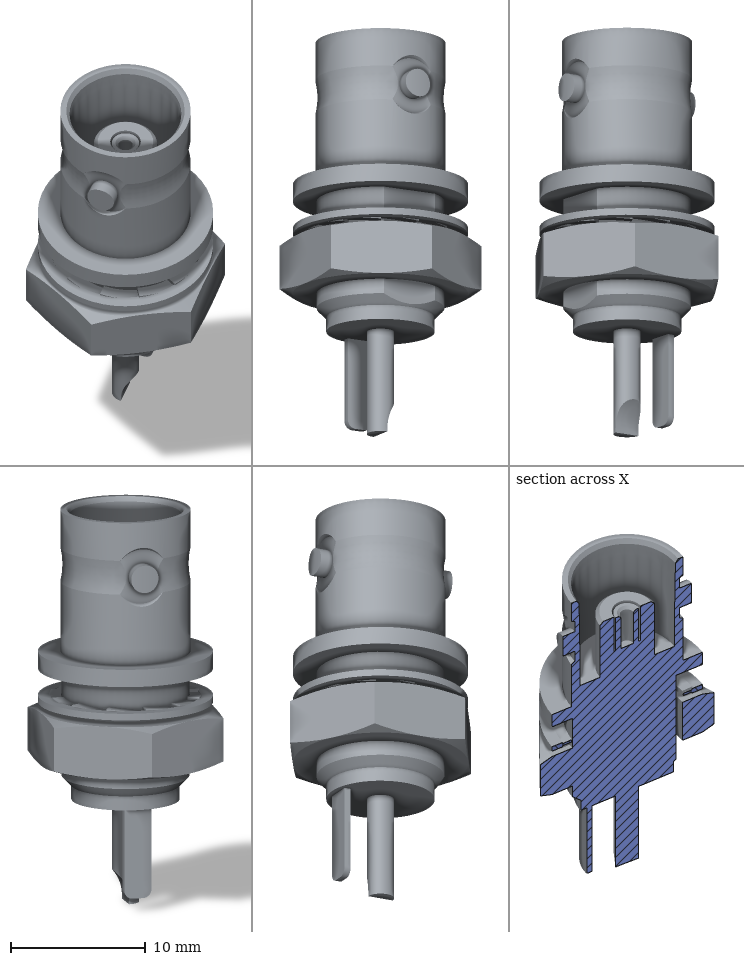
import cadquery as cq
import math

PIN_TIP_Z = 0.0
COLLAR_BOTTOM_Z = 7.8
CHAMFER_BOTTOM_Z = 8.88
CHAMFER_TOP_Z = 9.6
NUT_BOTTOM_Z = 10.7
NUT_TOP_Z = 14.7
WASHER_BOTTOM_Z = 15.2
WASHER_TOP_Z = 15.7
FLANGE_BOTTOM_Z = 17.73
FLANGE_TOP_Z = 19.05
SOCKET_FLOOR_Z = 20.85
LUG_Z = 25.65
INSULATOR_TOP_Z = 26.52
RIM_Z = 29.8

COLLAR_RADIUS = 4.02
THREAD_RADIUS = 4.75
FLANGE_RADIUS = 6.5
BARREL_RADIUS = 4.83
THREAD_FLAT_Y = -4.2
GROOVE_HALF_HEIGHT = 1.28
GROOVE_DEPTH = 0.15

SOCKET_FLOOR_RADIUS = 4.05
SOCKET_MOUTH_RADIUS = 4.15
RIM_INNER_RADIUS = 4.38
RIM_CHAMFER_HEIGHT = 0.35

INSULATOR_RADIUS = 2.35
INSULATOR_CHAMFER = 0.3
INSULATOR_HOLE_RADIUS = 1.13
CONTACT_RADIUS = 1.0
CONTACT_BORE_RADIUS = 0.55
CONTACT_CHAMFER = 0.2
CONTACT_RECESS = 0.15
CONTACT_BORE_DEPTH = 3.58

LUG_RADIUS = 1.05
LUG_REACH = 5.55
LUG_SPOT_RADIUS = 2.05
LUG_SPOT_FLARE = 0.18
LUG_SPOT_Y = 4.53

PIN_RADIUS = 1.0
PIN_SCOOP_RADIUS = 2.83
PIN_SCOOP_Z = 0.3
TAB_WIDTH = 2.1
TAB_THICKNESS = 0.5
TAB_Y = 3.25
TAB_BOTTOM_Z = 0.98
TAB_CORNER_RADIUS = 0.65

NUT_FLAT_RADIUS = FLANGE_RADIUS
NUT_CORNER_RADIUS = NUT_FLAT_RADIUS / math.cos(math.pi / 6)
NUT_CORNER_DROP = 0.35

WASHER_RADIUS = FLANGE_RADIUS
WASHER_INNER_RADIUS = 5.57
TOOTH_TIP_RADIUS = 4.77
TOOTH_COUNT = 12
TOOTH_TILT = 5.0
TOOTH_ROOT_OVERLAP = 0.1


def cylinder(radius, bottom_z, top_z):
    return cq.Workplane("XY").workplane(offset=bottom_z).circle(radius).extrude(top_z - bottom_z)


def shell_blank():
    """Solid revolved outside of the connector, from the collar up to the rim."""
    groove_radius = BARREL_RADIUS - GROOVE_DEPTH
    arc_radius = (GROOVE_HALF_HEIGHT**2 + GROOVE_DEPTH**2) / (2 * GROOVE_DEPTH)
    return (
        cq.Workplane("XZ")
        .moveTo(0, COLLAR_BOTTOM_Z)
        .lineTo(COLLAR_RADIUS, COLLAR_BOTTOM_Z)
        .lineTo(COLLAR_RADIUS, CHAMFER_BOTTOM_Z)
        .lineTo(THREAD_RADIUS, CHAMFER_TOP_Z)
        .lineTo(THREAD_RADIUS, FLANGE_BOTTOM_Z)
        .lineTo(FLANGE_RADIUS, FLANGE_BOTTOM_Z)
        .lineTo(FLANGE_RADIUS, FLANGE_TOP_Z)
        .lineTo(BARREL_RADIUS, FLANGE_TOP_Z)
        .lineTo(BARREL_RADIUS, LUG_Z - GROOVE_HALF_HEIGHT)
        .radiusArc((groove_radius, LUG_Z), arc_radius)
        .radiusArc((BARREL_RADIUS, LUG_Z + GROOVE_HALF_HEIGHT), arc_radius)
        .lineTo(BARREL_RADIUS, RIM_Z)
        .lineTo(0, RIM_Z)
        .close()
        .revolve(360, (0, 0, 0), (0, 1, 0))
    )


def thread_flat():
    """Cutter for the flat that keys the threaded section on its -Y side."""
    height = FLANGE_BOTTOM_Z - CHAMFER_BOTTOM_Z
    return (
        cq.Workplane("XY")
        .box(2 * THREAD_RADIUS, THREAD_RADIUS, height, centered=(True, False, False))
        .translate((0, THREAD_FLAT_Y - THREAD_RADIUS, CHAMFER_BOTTOM_Z))
    )


def socket():
    """Cutter for the tapered socket, leaving the insulator boss on its floor."""
    return (
        cq.Workplane("XZ")
        .moveTo(0, INSULATOR_TOP_Z)
        .lineTo(INSULATOR_RADIUS - INSULATOR_CHAMFER, INSULATOR_TOP_Z)
        .lineTo(INSULATOR_RADIUS, INSULATOR_TOP_Z - INSULATOR_CHAMFER)
        .lineTo(INSULATOR_RADIUS, SOCKET_FLOOR_Z)
        .lineTo(SOCKET_FLOOR_RADIUS, SOCKET_FLOOR_Z)
        .lineTo(SOCKET_MOUTH_RADIUS, RIM_Z - RIM_CHAMFER_HEIGHT)
        .lineTo(RIM_INNER_RADIUS, RIM_Z)
        .lineTo(0, RIM_Z)
        .close()
        .revolve(360, (0, 0, 0), (0, 1, 0))
    )


def contact_recess():
    """Cutter around and inside the centre contact, open at the insulator top."""
    bottom_z = INSULATOR_TOP_Z - CONTACT_BORE_DEPTH
    contact_top_z = INSULATOR_TOP_Z - CONTACT_RECESS
    contact = (
        cylinder(CONTACT_RADIUS, bottom_z, contact_top_z)
        .cut(cylinder(CONTACT_BORE_RADIUS, bottom_z, contact_top_z))
        .faces(">Z")
        .edges(cq.selectors.RadiusNthSelector(0))
        .chamfer(CONTACT_CHAMFER)
    )
    return cylinder(INSULATOR_HOLE_RADIUS, bottom_z, INSULATOR_TOP_Z).cut(contact)


def lug_spots():
    """Flared cutters for the round flats that surround the two bayonet lugs."""
    depth = BARREL_RADIUS - LUG_SPOT_Y
    cone = cq.Solid.makeCone(
        LUG_SPOT_RADIUS,
        LUG_SPOT_RADIUS + LUG_SPOT_FLARE,
        depth,
        cq.Vector(0, -LUG_SPOT_Y, LUG_Z),
        cq.Vector(0, -1, 0),
    )
    cutter = cq.Workplane(cone)
    return cutter.union(cutter.mirror("XZ"))


def lugs():
    """Two opposite bayonet lugs rooted in the barrel wall, with ends curved around the Z axis."""
    bar = (
        cq.Workplane("XZ", origin=(0, 0, LUG_Z))
        .circle(LUG_RADIUS)
        .extrude(LUG_REACH, both=True)
    )
    reach = cylinder(LUG_REACH, LUG_Z - LUG_RADIUS, LUG_Z + LUG_RADIUS)
    mid_wall_radius = (SOCKET_MOUTH_RADIUS + LUG_SPOT_Y) / 2
    barrel_middle = cylinder(mid_wall_radius, FLANGE_TOP_Z, RIM_Z)
    return bar.intersect(reach).cut(barrel_middle)


def solder_pin():
    """Round pin with its +X half scooped away at the tip."""
    pin = cylinder(PIN_RADIUS, PIN_TIP_Z, COLLAR_BOTTOM_Z)
    scoop = (
        cq.Workplane("XZ", origin=(PIN_SCOOP_RADIUS, 0, PIN_SCOOP_Z))
        .circle(PIN_SCOOP_RADIUS)
        .extrude(PIN_RADIUS, both=True)
    )
    tip_relief = (
        cq.Workplane("XY")
        .box(PIN_RADIUS, 2 * PIN_RADIUS, PIN_SCOOP_Z, centered=(False, True, False))
        .translate((0, 0, PIN_TIP_Z))
    )
    return pin.cut(scoop).cut(tip_relief)


def ground_tab():
    """Flat tab below the collar with rounded lower corners."""
    return (
        cq.Workplane("XY")
        .box(TAB_WIDTH, TAB_THICKNESS, COLLAR_BOTTOM_Z - TAB_BOTTOM_Z, centered=(True, True, False))
        .translate((0, TAB_Y, TAB_BOTTOM_Z))
        .edges("|Y and <Z")
        .fillet(TAB_CORNER_RADIUS)
    )


def nut():
    """Hexagonal nut with corners on the Y axis, conically trimmed at both ends."""
    hexagon = (
        cq.Workplane("XY")
        .workplane(offset=NUT_BOTTOM_Z)
        .transformed(rotate=(0, 0, 90))
        .polygon(6, 2 * NUT_CORNER_RADIUS)
        .extrude(NUT_TOP_Z - NUT_BOTTOM_Z)
    )
    trim = (
        cq.Workplane("XZ")
        .moveTo(THREAD_RADIUS, NUT_BOTTOM_Z)
        .lineTo(NUT_FLAT_RADIUS, NUT_BOTTOM_Z)
        .lineTo(NUT_CORNER_RADIUS, NUT_BOTTOM_Z + NUT_CORNER_DROP)
        .lineTo(NUT_CORNER_RADIUS, NUT_TOP_Z - NUT_CORNER_DROP)
        .lineTo(NUT_FLAT_RADIUS, NUT_TOP_Z)
        .lineTo(THREAD_RADIUS, NUT_TOP_Z)
        .close()
        .revolve(360, (0, 0, 0), (0, 1, 0))
    )
    return hexagon.intersect(trim)


def make_connector():
    """Connector with its nut seated on the thread, as one solid."""
    shell = shell_blank().cut(thread_flat()).cut(socket()).cut(contact_recess()).cut(lug_spots())
    return shell.union(lugs()).union(solder_pin()).union(ground_tab()).union(nut())


def washer_tooth():
    """One tooth on the +X side, tilted about its radial centre line."""
    thickness = WASHER_TOP_Z - WASHER_BOTTOM_Z
    half_angle = math.pi / TOOTH_COUNT
    root_radius = WASHER_INNER_RADIUS + TOOTH_ROOT_OVERLAP

    def sector_point(radius, angle):
        return (radius * math.cos(angle), radius * math.sin(angle))

    return (
        cq.Workplane("XY")
        .moveTo(*sector_point(TOOTH_TIP_RADIUS, -half_angle))
        .lineTo(*sector_point(root_radius, -half_angle))
        .threePointArc((root_radius, 0), sector_point(root_radius, half_angle))
        .lineTo(*sector_point(TOOTH_TIP_RADIUS, half_angle))
        .threePointArc((TOOTH_TIP_RADIUS, 0), sector_point(TOOTH_TIP_RADIUS, -half_angle))
        .close()
        .extrude(thickness / 2, both=True)
        .rotate((0, 0, 0), (1, 0, 0), -TOOTH_TILT)
        .translate((0, 0, WASHER_BOTTOM_Z + thickness / 2))
    )


def make_washer():
    """Flat ring with a full circle of tilted teeth around its bore."""
    washer = cylinder(WASHER_RADIUS, WASHER_BOTTOM_Z, WASHER_TOP_Z).cut(
        cylinder(WASHER_INNER_RADIUS, WASHER_BOTTOM_Z, WASHER_TOP_Z)
    )
    pitch = 360 / TOOTH_COUNT
    for index in range(TOOTH_COUNT):
        angle = (index + 0.5) * pitch
        washer = washer.union(washer_tooth().rotate((0, 0, 0), (0, 0, 1), angle))
    return washer


connector = make_connector()
washer = make_washer()

result = cq.Compound.makeCompound([connector.solids().val(), washer.solids().val()])